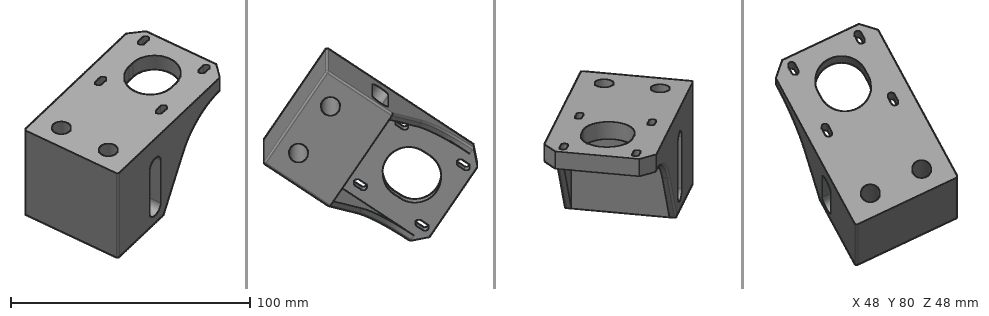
import cadquery as cq
import math

width = 48.0
depth = 80.0
height = 48.0

plate_thickness = 8.0
corner_chamfer = 6.0
support_radius = 30.0
support_angle = math.radians(60)
edge_round = 1.0
gusset_thickness = 3.0

motor_y = 59.0
motor_travel = 3.0
pilot_diameter = 22.0
motor_bolt_spacing = 31.0
motor_bolt_width = 3.0

fixing_diameter = 8.0
fixing_spacing = 24.0
fixing_y = 10.0

cross_slot_width = 8.0
cross_slot_length = 32.0
cross_slot_y = 27.0
cross_slot_z = 21.0


def support_arc_point(angle):
    """Point (Y, Z) on the support arc, with the angle measured from its top."""
    return (
        depth - corner_chamfer - support_radius * math.sin(angle),
        height - plate_thickness - support_radius * (1 - math.cos(angle)),
    )


arc_end = support_arc_point(support_angle)
base_depth = arc_end[0] - arc_end[1] / math.tan(support_angle)


def make_body():
    """Side profile with a concave arc running tangentially into a sloping line."""
    underside = height - plate_thickness
    arc_start_y = depth - corner_chamfer
    profile = (
        cq.Workplane("YZ", origin=(-width / 2, 0, 0))
        .lineTo(base_depth, 0)
        .lineTo(*arc_end)
        .threePointArc(support_arc_point(support_angle / 2), (arc_start_y, underside))
        .lineTo(depth, underside)
        .lineTo(depth, height)
        .lineTo(0, height)
        .close()
    )
    return profile.extrude(width)


def side_edges(body):
    """Lower side edges along the base, slope and arc, short of the plate corners."""
    margin = 0.1
    below_plate = cq.selectors.BoxSelector(
        (-width, -margin, -margin),
        (width, depth - corner_chamfer, height - plate_thickness + margin),
        boundingbox=False,
    )
    side_faces = body.faces("<X or >X")
    return side_faces.edges(below_plate).edges("not |Z")


def vertical_slot(x, y, slot_width):
    """Full-height cutter whose round ends are one motor travel apart along Y."""
    return (
        cq.Workplane("XY", origin=(x, y, 0))
        .slot2D(slot_width + motor_travel, slot_width, 90)
        .extrude(height)
    )


body = make_body()
body = body.edges("|Z and >Y").chamfer(corner_chamfer)
rounded_edges = side_edges(body).add(body.edges("|Z and <Y")).add(body.edges("|X and <Y and <Z"))
body = body.newObject(rounded_edges.vals()).fillet(edge_round)

motor_bay = cq.Workplane("XY").box(
    width - 2 * gusset_thickness,
    depth - base_depth,
    height - plate_thickness,
    centered=(True, False, False),
)
body = body.cut(motor_bay.translate((0, base_depth, 0)))

body = body.cut(vertical_slot(0, motor_y, pilot_diameter))
for x_side in (-1, 1):
    for y_side in (-1, 1):
        bolt_x = x_side * motor_bolt_spacing / 2
        bolt_y = motor_y + y_side * motor_bolt_spacing / 2
        body = body.cut(vertical_slot(bolt_x, bolt_y, motor_bolt_width))

fixing_holes = (
    cq.Workplane("XY")
    .pushPoints([(-fixing_spacing / 2, fixing_y), (fixing_spacing / 2, fixing_y)])
    .circle(fixing_diameter / 2)
    .extrude(height)
)
body = body.cut(fixing_holes)

cross_slot = (
    cq.Workplane("YZ", origin=(-width / 2, cross_slot_y, cross_slot_z))
    .slot2D(cross_slot_length, cross_slot_width, 90)
    .extrude(width)
)
result = body.cut(cross_slot)